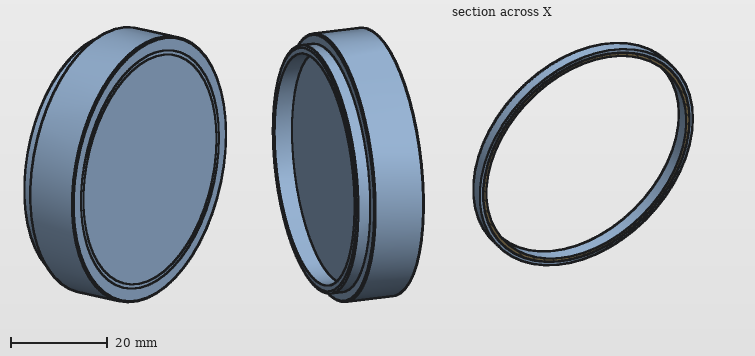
import cadquery as cq

total_length = 13.95
ring_diameter = 55.9
ring_chamfer = 0.3
head_diameter = 51.7
head_length = 2.85
head_chamfer_length = 0.3
head_chamfer_depth = 0.5
neck_diameter = 50.05
bore_diameter = 48.3
recess_depth = 3.8
gap_width = 0.15

front_x = -total_length / 2
back_x = total_length / 2
head_back_x = front_x + head_length
ring_front_x = head_back_x + gap_width
window_front_x = front_x + recess_depth


def disc(diameter, start_x, end_x):
    """Plain round disc about the X axis, from start_x to end_x."""
    plane = cq.Workplane("YZ").workplane(offset=start_x)
    return plane.circle(diameter / 2).extrude(end_x - start_x)


def make_outer_ring():
    """Wide ring around the neck of the cell, chamfered on both outer edges."""
    ring = disc(ring_diameter, ring_front_x, back_x)
    ring = ring.faces("<X or >X").edges().chamfer(ring_chamfer)
    return ring.cut(disc(neck_diameter, ring_front_x, back_x))


def make_cell():
    """Tube with a chamfered front head and a neck that runs through the outer ring.

    A narrow gap separates the back of the head from the outer ring.
    """
    radius = head_diameter / 2
    chamfer_back_x = front_x + head_chamfer_length
    head_profile = [
        (front_x, 0),
        (front_x, radius - head_chamfer_depth),
        (chamfer_back_x, radius),
        (head_back_x, radius),
        (head_back_x, 0),
    ]
    head = cq.Workplane("XY").polyline(head_profile).close().revolve(360, (0, 0, 0), (1, 0, 0))
    neck = disc(neck_diameter, head_back_x, back_x)
    return head.union(neck).cut(disc(bore_diameter, front_x, back_x))


def make_window():
    """Flat disc that fills the bore of the cell behind the front recess."""
    return disc(bore_diameter, window_front_x, back_x)


outer_ring = make_outer_ring()
cell = make_cell()
window = make_window()

result = cq.Compound.makeCompound([outer_ring.val(), cell.val(), window.val()])